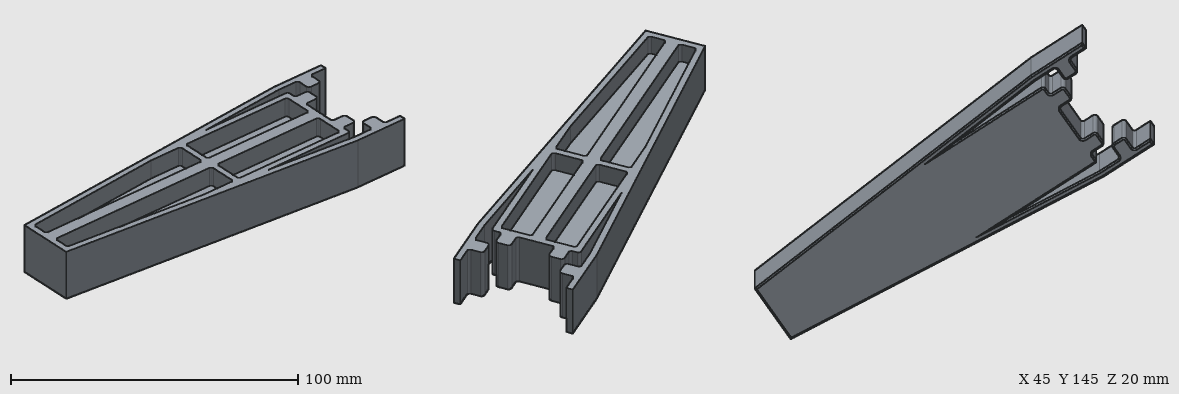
import cadquery as cq

length = 145.0
height = 20.0
tail_half_width = 11.25
head_half_width = 22.5

wall = 2.5
straight_length = 21.5
body_half_width = 16.75
body_end_setback = 20.0

block_width = 5.75
block_reach = 5.75
arm_block_setback = 7.0
body_block_offset = 10.0

pocket_depth = 7.5
rib_width = 5.0
cross_rib_setback = 68.75

body_corner_radius = 1.0
block_corner_radius = 1.25
pocket_radius = 1.0
root_radius = 1.0
bottom_chamfer = 0.6

taper_end = length - straight_length
body_end = length - body_end_setback
cross_rib_end = length - cross_rib_setback
cross_rib_start = cross_rib_end - wall
taper_slope = (head_half_width - tail_half_width) / taper_end
arm_inner = head_half_width - wall


def taper_inner_x(y):
    """Half width of the inner side of the tapered wall at position y."""
    return arm_inner - taper_slope * (taper_end - y)


def taper_inner_y(x):
    """Position where the inner side of the tapered wall has half width x."""
    return taper_end - (arm_inner - x) / taper_slope


def prism(points, z_start, depth):
    """Upright prism on a closed polygon of (x, y) points."""
    return cq.Workplane("XY").workplane(offset=z_start).polyline(points).close().extrude(depth)


def round_corners(solid, corners, radius):
    """Fillet the vertical edges at the given corners on both sides of X = 0."""
    for x, y in corners:
        for side in (-1, 1):
            edge = cq.selectors.NearestToPointSelector((side * x, y, height / 2))
            solid = solid.edges("|Z").edges(edge).fillet(radius)
    return solid


def make_outline_solid():
    """Tapered bar with straight head sides."""
    right_side = [
        (tail_half_width, 0),
        (head_half_width, taper_end),
        (head_half_width, length),
    ]
    left_side = [(-x, y) for x, y in reversed(right_side)]
    return prism(right_side + left_side, 0, height)


def make_head_opening():
    """Space between the arms, leaving the body and the stop blocks standing."""
    block_end = length - arm_block_setback
    block_start = block_end - block_width
    arm_block_tip = arm_inner - block_reach
    body_block_tip = body_end + block_reach
    block_inner = body_block_offset - block_width / 2
    block_outer = body_block_offset + block_width / 2
    right_side = [
        (block_inner, body_end),
        (block_inner, body_block_tip),
        (block_outer, body_block_tip),
        (block_outer, body_end),
        (body_half_width, body_end),
        (body_half_width, taper_inner_y(body_half_width)),
        (arm_inner, taper_end),
        (arm_inner, block_start),
        (arm_block_tip, block_start),
        (arm_block_tip, block_end),
        (arm_inner, block_end),
        (arm_inner, length),
    ]
    left_side = [(-x, y) for x, y in reversed(right_side)]
    opening = prism(right_side + left_side, 0, height)

    block_corners = [
        (block_inner, body_block_tip),
        (block_outer, body_block_tip),
        (arm_block_tip, block_start),
        (arm_block_tip, block_end),
    ]
    root_corners = [
        (block_inner, body_end),
        (block_outer, body_end),
        (arm_inner, block_start),
        (arm_inner, block_end),
    ]
    body_corners = [(body_half_width, body_end)]
    opening = round_corners(opening, body_corners, body_corner_radius)
    opening = round_corners(opening, block_corners, block_corner_radius)
    return round_corners(opening, root_corners, root_radius)


def make_pockets():
    """Two straight pockets near the head and two tapering towards the tail."""
    inner_x = rib_width / 2
    outer_x = body_half_width - wall
    floor = height - pocket_depth
    head_points = [
        (inner_x, cross_rib_end),
        (outer_x, cross_rib_end),
        (outer_x, body_end - wall),
        (inner_x, body_end - wall),
    ]
    tail_points = [
        (inner_x, wall),
        (taper_inner_x(wall), wall),
        (outer_x, taper_inner_y(outer_x)),
        (outer_x, cross_rib_start),
        (inner_x, cross_rib_start),
    ]
    head_pocket = prism(head_points, floor, pocket_depth).edges("|Z").fillet(pocket_radius)
    tail_pocket = prism(tail_points, floor, pocket_depth).edges("|Z").fillet(pocket_radius)
    right_pockets = head_pocket.union(tail_pocket)
    return right_pockets.union(right_pockets.mirror("YZ"))


frame = make_outline_solid().cut(make_head_opening()).faces("<Z").chamfer(bottom_chamfer)
result = frame.cut(make_pockets())